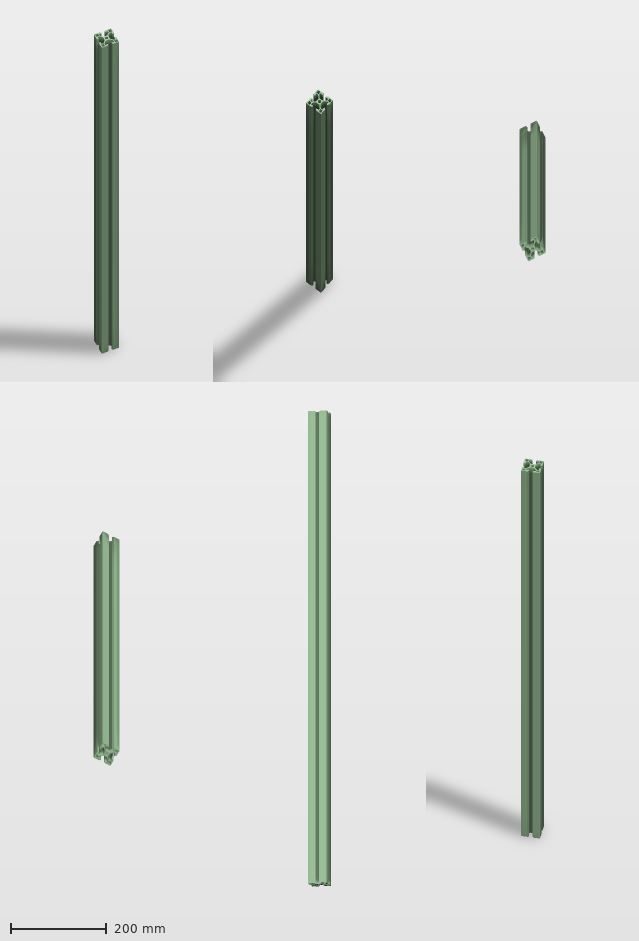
import cadquery as cq

side = 40.0
length = 1000.0
face = side / 2
corner_radius = 0.3

slot_opening = 8.2
rebate_width = 11.5
rebate_depth = 1.8
lip_thickness = 4.3
cavity_width = 20.6
cavity_wall_height = 3.9
core_width = 11.8
floor_width = 8.4

bore_diameter = 6.8

outer_wall = 2.0
chamber_width = 6.1

quarter_turns = (0, 90, 180, 270)


def turned(body, angle):
    """The body turned about the axis of the extrusion."""
    return body.rotate((0, 0, 0), (0, 0, 1), angle)


def slot_cutter():
    """Full-length T-slot open on the +Y side, with a rebated mouth and a tapered cavity."""
    underside = face - lip_thickness
    right_half = [
        (rebate_width / 2, face),
        (rebate_width / 2, face - rebate_depth),
        (slot_opening / 2, face - rebate_depth),
        (slot_opening / 2, underside),
        (cavity_width / 2, underside),
        (cavity_width / 2, underside - cavity_wall_height),
        (floor_width / 2, core_width / 2),
    ]
    left_half = [(-x, y) for x, y in reversed(right_half)]
    return cq.Workplane("XY").polyline(right_half + left_half).close().extrude(length)


def chamber_cutter():
    """Full-length square chamber in the +X +Y corner."""
    center = face - outer_wall - chamber_width / 2
    return cq.Workplane("XY").center(center, center).rect(chamber_width, chamber_width).extrude(length)


def extrusion():
    """Square bar with rounded edges, the bore, four T-slots and four corner chambers."""
    bar = cq.Workplane("XY").rect(side, side).extrude(length).edges("|Z").fillet(corner_radius)
    bar = bar.cut(cq.Workplane("XY").circle(bore_diameter / 2).extrude(length))
    slot = slot_cutter()
    chamber = chamber_cutter()
    for angle in quarter_turns:
        bar = bar.cut(turned(slot, angle))
        bar = bar.cut(turned(chamber, angle))
    return bar


result = extrusion()